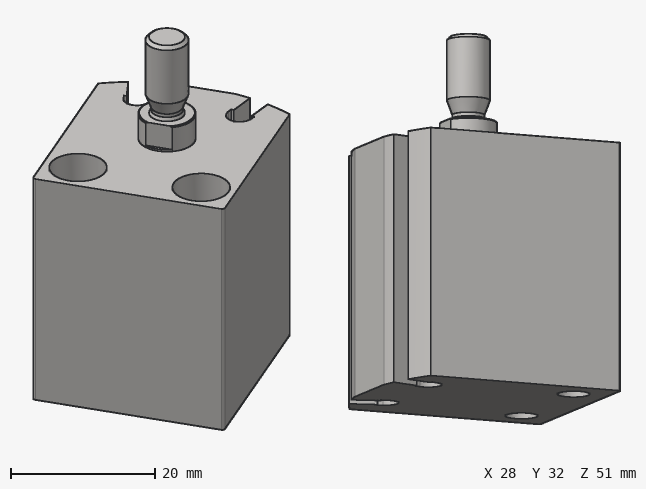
import cadquery as cq
import math

WIDTH = 28.0
FRONT_Y = -17.0
BACK_Y = 15.0
HEIGHT = 35.0
SHOULDER_Y = 11.85
CROWN_FLAT = 9.9
CROWN_RADIUS = 29.1
EDGE_RADIUS = 0.4

MOUNT_SPACING = 18.0
MOUNT_Y = -12.0
MOUNT_DIAMETER = 4.5
COUNTERBORE_DIAMETER = 8.0
COUNTERBORE_DEPTH = 4.7

SLOT_X = 7.5
SLOT_Y = 9.35
SLOT_ANGLE = 15.0
SLOT_MOUTH = 3.0
SLOT_CHANNEL = 3.75
SLOT_LEDGE = 0.8
SLOT_REACH = 10.2

TOTAL_HEIGHT = 51.0
ROD_LENGTH = TOTAL_HEIGHT - HEIGHT
COLLAR_DIAMETER = 8.0
COLLAR_HEIGHT = 4.0
COLLAR_CHAMFER = 0.15
FLAT_ACROSS = 7.0
FLAT_START = 0.3
NECK_DIAMETER = 4.5
NECK_ROOT_DIAMETER = 5.0
NECK_START = 4.5
NECK_END = 5.0
STUD_DIAMETER = 6.0
STUD_START = 7.05
TIP_CHAMFER = 0.5


def make_block():
    half_width = WIDTH / 2
    half_flat = CROWN_FLAT / 2
    run = half_width - half_flat
    rise = BACK_Y - SHOULDER_Y
    chord = math.hypot(run, rise)
    bulge = CROWN_RADIUS - math.sqrt(CROWN_RADIUS**2 - (chord / 2) ** 2)
    mid_x = (half_width + half_flat) / 2 + bulge * rise / chord
    mid_y = (BACK_Y + SHOULDER_Y) / 2 + bulge * run / chord
    block = (
        cq.Workplane("XY")
        .moveTo(-half_width, FRONT_Y)
        .lineTo(half_width, FRONT_Y)
        .lineTo(half_width, SHOULDER_Y)
        .threePointArc((mid_x, mid_y), (half_flat, BACK_Y))
        .lineTo(-half_flat, BACK_Y)
        .threePointArc((-mid_x, mid_y), (-half_width, SHOULDER_Y))
        .close()
        .extrude(HEIGHT)
    )
    return block.faces("<Y").edges("|Z").fillet(EDGE_RADIUS)


def make_slot(side):
    """Slot cutter for one side: -1 for left, +1 for right."""
    radius = SLOT_CHANNEL / 2
    channel = (
        cq.Workplane("XY")
        .moveTo(radius, SLOT_LEDGE)
        .lineTo(-radius, SLOT_LEDGE)
        .lineTo(-radius, 0)
        .threePointArc((0, -radius), (radius, 0))
        .close()
        .extrude(HEIGHT)
    )
    mouth = cq.Workplane("XY").box(
        SLOT_MOUTH, SLOT_REACH, HEIGHT, centered=(True, False, False)
    )
    cutter = channel.union(mouth)
    cutter = cutter.rotate((0, 0, 0), (0, 0, 1), -side * SLOT_ANGLE)
    return cutter.translate((side * SLOT_X, SLOT_Y, 0))


def make_housing():
    housing = make_block()
    for side in (-1, 1):
        housing = housing.cut(make_slot(side))
    return (
        housing.faces(">Z")
        .workplane(origin=(0, 0, HEIGHT))
        .pushPoints([(-MOUNT_SPACING / 2, MOUNT_Y), (MOUNT_SPACING / 2, MOUNT_Y)])
        .cboreHole(MOUNT_DIAMETER, COUNTERBORE_DIAMETER, COUNTERBORE_DEPTH)
    )


def make_rod():
    collar_radius = COLLAR_DIAMETER / 2
    stud_radius = STUD_DIAMETER / 2
    profile = [
        (0, 0),
        (collar_radius, 0),
        (collar_radius, COLLAR_HEIGHT - COLLAR_CHAMFER),
        (collar_radius - COLLAR_CHAMFER, COLLAR_HEIGHT),
        (NECK_ROOT_DIAMETER / 2, COLLAR_HEIGHT),
        (NECK_DIAMETER / 2, NECK_START),
        (NECK_DIAMETER / 2, NECK_END),
        (stud_radius, STUD_START),
        (stud_radius, ROD_LENGTH - TIP_CHAMFER),
        (stud_radius - TIP_CHAMFER, ROD_LENGTH),
        (0, ROD_LENGTH),
    ]
    rod = cq.Workplane("XZ").polyline(profile).close().revolve(360, (0, 0), (0, 1))

    flat_height = COLLAR_HEIGHT - FLAT_START
    for side in (-1, 1):
        waste = cq.Workplane("XY").box(
            COLLAR_DIAMETER, COLLAR_DIAMETER, flat_height, centered=(True, True, False)
        )
        rod = rod.cut(waste.translate((0, side * (FLAT_ACROSS + COLLAR_DIAMETER) / 2, FLAT_START)))
    return rod.translate((0, 0, HEIGHT))


housing = make_housing()
rod = make_rod()
result = cq.Compound.makeCompound([housing.val(), rod.val()])